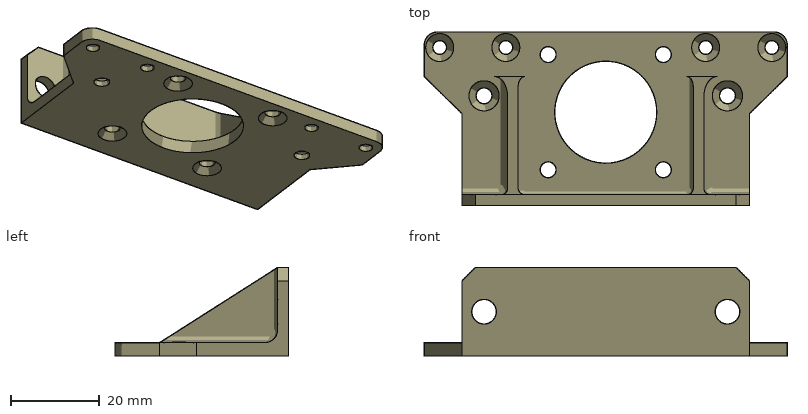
import cadquery as cq

overall_width = 82.0
overall_depth = 39.2
overall_height = 20.0
plate_thickness = 3.0
corner_radius = 3.0
body_width = 64.95
shoulder_front_y = 20.75
shoulder_back_y = 29.1

wall_thickness = 2.5
wall_chamfer = 3.0
wall_hole_diameter = 5.5
wall_hole_x = 27.5
wall_hole_z = overall_height / 2

rib_inner_x = 19.8
rib_thickness = 2.4
rib_outer_x = rib_inner_x + rib_thickness
rib_back_y = shoulder_back_y
outer_floor_radius = 2.95
small_radius = 1.5

opening_diameter = 23.0
opening_y = 21.1
motor_hole_diameter = 3.5
motor_hole_spacing = 26.0
motor_sink_diameter = 6.5

back_hole_diameter = 3.0
back_sink_diameter = 6.3
back_hole_y = 35.7
back_hole_positions = (22.55, 37.5)
side_hole_diameter = 3.5
side_sink_diameter = 6.8
side_hole_x = 27.5
side_hole_y = 24.8

sides = (-1, 1)

tolerance = 0.01


def make_plate():
    """Wide plate narrowing through sloped shoulders to the wall."""
    half_width = overall_width / 2
    half_body = body_width / 2
    outline = [
        (-half_body, 0),
        (half_body, 0),
        (half_body, shoulder_front_y),
        (half_width, shoulder_back_y),
        (half_width, overall_depth),
        (-half_width, overall_depth),
        (-half_width, shoulder_back_y),
        (-half_body, shoulder_front_y),
    ]
    plate = cq.Workplane("XY").polyline(outline).close().extrude(plate_thickness)
    return plate.edges("|Z and >Y").fillet(corner_radius)


def make_wall():
    """Upright wall with chamfered top corners."""
    wall = cq.Workplane("XY").box(body_width, wall_thickness, overall_height, centered=(True, False, False))
    return wall.edges("|Y and >Z").chamfer(wall_chamfer)


def make_rib_block(side):
    """Full-height rib, later trimmed to a triangle."""
    block = cq.Workplane("XY").box(rib_thickness, overall_depth, overall_height, centered=(True, False, False))
    return block.translate((side * (rib_inner_x + rib_thickness / 2), 0, 0))


def floor_edges(body, outside):
    """Select the inside corners along the floor, outside or between the ribs."""
    chosen = []
    for edge in body.edges().vals():
        box = edge.BoundingBox()
        middle = edge.Center()
        on_floor = abs(middle.z - plate_thickness) < tolerance and box.zlen < tolerance
        along_wall = abs(middle.y - wall_thickness) < tolerance and box.ylen < tolerance
        rib_x = rib_outer_x if outside else rib_inner_x
        along_rib = abs(abs(middle.x) - rib_x) < tolerance and box.xlen < tolerance
        in_wall_span = (abs(middle.x) > rib_outer_x) == outside
        if on_floor and (along_rib or (along_wall and in_wall_span)):
            chosen.append(edge)
    return body.newObject(chosen)


def upright_edges(body):
    """Select the vertical inside corners between the ribs and the wall."""
    chosen = []
    for edge in body.edges("|Z").vals():
        middle = edge.Center()
        on_rib = rib_inner_x - tolerance < abs(middle.x) < rib_outer_x + tolerance
        if on_rib and abs(middle.y - wall_thickness) < tolerance:
            chosen.append(edge)
    return body.newObject(chosen)


def make_slope_cutter():
    """Space above the line from the wall top to the rib toe."""
    profile = [
        (wall_thickness, overall_height),
        (rib_back_y, plate_thickness),
        (overall_depth, plate_thickness),
        (overall_depth, overall_height),
    ]
    cutter = cq.Workplane("YZ").polyline(profile).close()
    return cutter.extrude(overall_width / 2, both=True)


def make_hole(diameter, x, y):
    """Vertical cylinder from the underside up."""
    return cq.Workplane("XY").center(x, y).circle(diameter / 2).extrude(overall_height)


def make_countersunk_hole(diameter, sink_diameter, x, y):
    """Through hole, 90-degree cone, and head clearance above the plate."""
    sink_depth = (sink_diameter - diameter) / 2
    cone = cq.Workplane("XY").add(
        cq.Solid.makeCone(
            diameter / 2,
            sink_diameter / 2,
            sink_depth,
            pnt=cq.Vector(x, y, plate_thickness - sink_depth),
        )
    )
    clearance = make_hole(sink_diameter, x, y).translate((0, 0, plate_thickness))
    shank = make_hole(diameter, x, y)
    return shank.union(cone).union(clearance)


def make_underside_sink(diameter, sink_diameter, x, y):
    """90-degree cone opening onto the underside of the plate."""
    sink_depth = (sink_diameter - diameter) / 2
    cone = cq.Solid.makeCone(sink_diameter / 2, diameter / 2, sink_depth, pnt=cq.Vector(x, y, 0))
    return cq.Workplane("XY").add(cone)


body = make_plate().union(make_wall())
for side in sides:
    body = body.union(make_rib_block(side))
body = floor_edges(body, outside=True).fillet(outer_floor_radius)
body = upright_edges(body).fillet(small_radius)
body = floor_edges(body, outside=False).fillet(small_radius)
body = body.cut(make_slope_cutter())

body = body.cut(make_hole(opening_diameter, 0, opening_y))
for side in sides:
    motor_x = side * motor_hole_spacing / 2
    for end in sides:
        motor_y = opening_y + end * motor_hole_spacing / 2
        body = body.cut(make_hole(motor_hole_diameter, motor_x, motor_y))
        body = body.cut(make_underside_sink(motor_hole_diameter, motor_sink_diameter, motor_x, motor_y))
    for x in back_hole_positions:
        body = body.cut(make_countersunk_hole(back_hole_diameter, back_sink_diameter, side * x, back_hole_y))
    body = body.cut(
        make_countersunk_hole(side_hole_diameter, side_sink_diameter, side * side_hole_x, side_hole_y)
    )
    wall_hole = (
        cq.Workplane("XZ")
        .center(side * wall_hole_x, wall_hole_z)
        .circle(wall_hole_diameter / 2)
        .extrude(-wall_thickness)
    )
    body = body.cut(wall_hole)

result = body